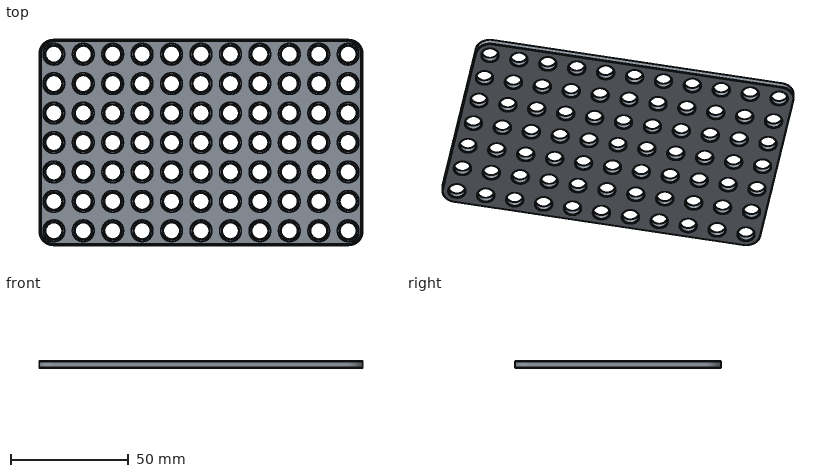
import cadquery as cq

pitch = 12.5
columns = 11
rows = 7
length = columns * pitch
width = rows * pitch
thickness = pitch / 4
corner_radius = pitch / 2

hole_diameter = 7.0
bevel = 0.3

ring_diameter = 9.2
rim_width = 0.8
recess_depth = 0.2


def rounded_block(inset, bottom, height):
    """Plate outline moved inwards by inset, extruded upwards from bottom."""
    return (
        cq.Workplane("XY", origin=(0, 0, bottom))
        .rect(length - 2 * inset, width - 2 * inset)
        .extrude(height)
        .edges("|Z")
        .fillet(corner_radius - inset)
    )


def at_every_hole(shape):
    """Copies of a shape, one at the centre of every grid unit."""
    centres = cq.Workplane("XY").rarray(pitch, pitch, columns, rows)
    return centres.eachpoint(lambda place: shape.moved(place))


def make_plate():
    """Solid plate resting on Z = 0, with bevelled outer edges."""
    return rounded_block(0, 0, thickness).faces("<Z or >Z").edges().chamfer(bevel)


def make_recess():
    """Volume removed from the top face: the area inside the rim, less the rings."""
    floor = thickness - recess_depth
    ring = cq.Workplane("XY", origin=(0, 0, floor)).circle(ring_diameter / 2).extrude(recess_depth)
    return rounded_block(rim_width, floor, recess_depth).cut(at_every_hole(ring.val()))


def make_hole_cutter():
    """Revolved cutter: straight bore with a bevelled mouth at both faces."""
    bore_radius = hole_diameter / 2
    mouth_radius = bore_radius + bevel
    profile = (
        cq.Workplane("XZ")
        .lineTo(mouth_radius, 0)
        .lineTo(bore_radius, bevel)
        .lineTo(bore_radius, thickness - bevel)
        .lineTo(mouth_radius, thickness)
        .lineTo(0, thickness)
        .close()
    )
    return profile.revolve(360, (0, 0, 0), (0, 1, 0)).val()


result = make_plate().cut(make_recess()).cut(at_every_hole(make_hole_cutter()))